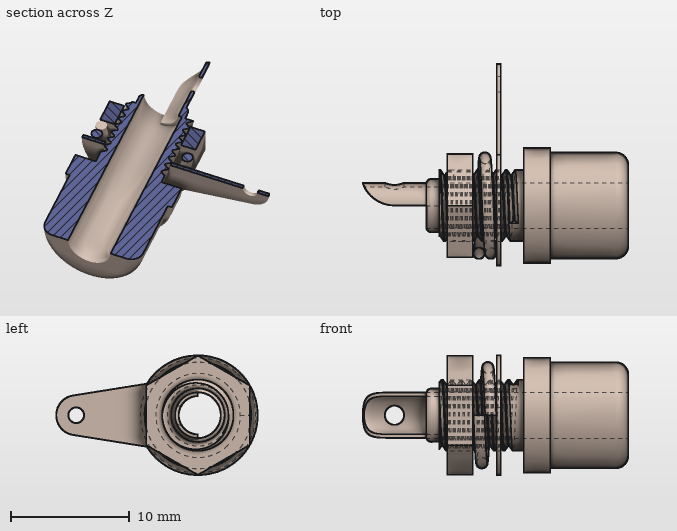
import cadquery as cq
import math


barrel_radius = 4.48
barrel_length = 6.57
barrel_round = 1.1
flange_radius = 4.85
flange_thickness = 2.24
shank_radius = 3.0
shank_length = 7.12
neck_radius = 2.25
neck_length = 1.08
neck_round_length = 0.53
bore_radius = 1.92

shank_end = -shank_length
neck_end = shank_end - neck_length
jack_front = flange_thickness + barrel_length

thread_pitch = 0.8
thread_turns = 9
thread_root_radius = 2.58
thread_land = thread_pitch / 8
groove_end_x = -thread_pitch
groove_end_angle = 120
groove_overshoot = 0.05

overall_length = 22.37
cup_inner_radius = 1.6
cup_hole_diameter = 1.6
cup_round_start = neck_end - 2.68
cup_tip = jack_front - overall_length

tag_thickness = 0.35
tag_ring_radius = 5.05
tag_length = 16.98
tag_back = -2.27
lug_end_radius = 1.69
lug_root_half_width = 2.66
lug_hole_diameter = 1.3
lug_end_center = tag_length - tag_ring_radius - lug_end_radius

nut_width = 8.7
nut_thickness = 2.18
nut_back = -6.45
nut_front = nut_back + nut_thickness

spring_pitch = 1.0
spring_wire_radius = 0.475
spring_mean_radius = 4.02
spring_start_x = (nut_front + tag_back - spring_pitch) / 2


def cylinder(start, end, radius):
    """Cylinder on the jack axis between two X positions."""
    return cq.Workplane("YZ", origin=(start, 0, 0)).circle(radius).extrude(end - start)


def make_turned_blank():
    """Barrel, flange, shank and neck as one solid of revolution with a through bore."""
    round_depth = neck_radius - bore_radius
    arc_rise = math.sqrt(0.5)
    arc_offset = 1 - arc_rise
    return (
        cq.Workplane("XY")
        .moveTo(neck_end, bore_radius)
        .threePointArc(
            (neck_end + neck_round_length * arc_offset, bore_radius + round_depth * arc_rise),
            (neck_end + neck_round_length, neck_radius),
        )
        .lineTo(shank_end, neck_radius)
        .lineTo(shank_end, shank_radius)
        .lineTo(0, shank_radius)
        .lineTo(0, flange_radius)
        .lineTo(flange_thickness, flange_radius)
        .lineTo(flange_thickness, barrel_radius)
        .lineTo(jack_front - barrel_round, barrel_radius)
        .threePointArc(
            (jack_front - barrel_round * arc_offset, barrel_radius - barrel_round * arc_offset),
            (jack_front, barrel_radius - barrel_round),
        )
        .lineTo(jack_front, bore_radius)
        .close()
        .revolve(360, (0, 0, 0), (1, 0, 0))
    )


def make_thread_groove():
    """Helical groove, modelled along Z and then laid along the jack axis."""
    height = thread_turns * thread_pitch
    outer_radius = shank_radius + groove_overshoot
    half_root = thread_land / 2
    half_mouth = (thread_pitch - thread_land) / 2
    flank_slope = (half_mouth - half_root) / (shank_radius - thread_root_radius)
    half_outer = half_mouth + groove_overshoot * flank_slope
    path = cq.Workplane(cq.Wire.makeHelix(thread_pitch, height, shank_radius))
    groove = (
        cq.Workplane("XZ")
        .polyline([
            (thread_root_radius, -half_root),
            (outer_radius, -half_outer),
            (outer_radius, half_outer),
            (thread_root_radius, half_root),
        ])
        .close()
        .sweep(path, isFrenet=True)
    )
    angle = math.radians(groove_end_angle)
    start_frame = cq.Plane(
        origin=(groove_end_x - height, 0, 0),
        xDir=(0, math.cos(angle), math.sin(angle)),
        normal=(1, 0, 0),
    )
    return groove.val().moved(cq.Location(start_frame))


def make_solder_cup():
    """Half tube trimmed by a round in the XY plane, with a cross hole for the wire."""
    tube = cylinder(cup_tip, shank_end, bore_radius).cut(cylinder(cup_tip, shank_end, cup_inner_radius))
    round_length = cup_round_start - cup_tip
    round_radius = (round_length**2 + bore_radius**2) / (2 * bore_radius)
    tip_angle = math.asin(round_length / round_radius)
    arc_middle = (
        cup_round_start - round_radius * math.sin(tip_angle / 2),
        round_radius * (1 - math.cos(tip_angle / 2)),
    )
    side_outline = (
        cq.Workplane("XY")
        .moveTo(shank_end, 0)
        .lineTo(cup_round_start, 0)
        .threePointArc(arc_middle, (cup_tip, bore_radius))
        .lineTo(shank_end, bore_radius)
        .close()
        .extrude(bore_radius, both=True)
    )
    wire_hole = (
        cq.Workplane("XZ", origin=(cup_round_start, 0, 0))
        .circle(cup_hole_diameter / 2)
        .extrude(-2 * bore_radius)
    )
    return tube.intersect(side_outline).cut(wire_hole)


def make_jack():
    return make_turned_blank().cut(cq.Workplane(make_thread_groove())).union(make_solder_cup())


def make_nut():
    corner_diameter = nut_width / math.cos(math.pi / 6)
    hexagon = (
        cq.Workplane("YZ", origin=(nut_back, 0, 0))
        .transformed(rotate=(0, 0, 90))
        .polygon(6, corner_diameter)
        .extrude(nut_thickness)
    )
    return hexagon.cut(cylinder(nut_back, nut_front, shank_radius))


def make_solder_tag():
    tag_front = tag_back + tag_thickness
    lug_root = math.sqrt(tag_ring_radius**2 - lug_root_half_width**2)
    run = lug_end_center - lug_root
    distance = math.hypot(run, lug_root_half_width)
    corner_angle = math.pi - math.atan2(lug_root_half_width, run)
    contact_angle = corner_angle - math.acos(lug_end_radius / distance)
    contact_y = lug_end_center + lug_end_radius * math.cos(contact_angle)
    contact_z = lug_end_radius * math.sin(contact_angle)
    lug = (
        cq.Workplane("YZ", origin=(tag_back, 0, 0))
        .moveTo(0, -lug_root_half_width)
        .lineTo(lug_root, -lug_root_half_width)
        .lineTo(contact_y, -contact_z)
        .threePointArc((lug_end_center + lug_end_radius, 0), (contact_y, contact_z))
        .lineTo(lug_root, lug_root_half_width)
        .lineTo(0, lug_root_half_width)
        .close()
        .extrude(tag_thickness)
    )
    lug_hole = (
        cq.Workplane("YZ", origin=(tag_back, lug_end_center, 0))
        .circle(lug_hole_diameter / 2)
        .extrude(tag_thickness)
    )
    ring = cylinder(tag_back, tag_front, tag_ring_radius)
    return ring.union(lug).cut(cylinder(tag_back, tag_front, shank_radius)).cut(lug_hole)


def make_spring_washer():
    """One turn of wire, modelled along Z; both cut ends lie on the -Y side at Z = 0."""
    path = cq.Workplane(cq.Wire.makeHelix(spring_pitch, spring_pitch, spring_mean_radius))
    coil = (
        cq.Workplane("XZ")
        .center(spring_mean_radius, 0)
        .circle(spring_wire_radius)
        .sweep(path, isFrenet=True)
    )
    start_frame = cq.Plane(origin=(spring_start_x, 0, 0), xDir=(0, -1, 0), normal=(1, 0, 0))
    return cq.Workplane(coil.val().moved(cq.Location(start_frame)))


jack = make_jack()
nut = make_nut()
solder_tag = make_solder_tag()
spring_washer = make_spring_washer()

result = cq.Compound.makeCompound([
    jack.val(),
    nut.val(),
    solder_tag.val(),
    spring_washer.val(),
])